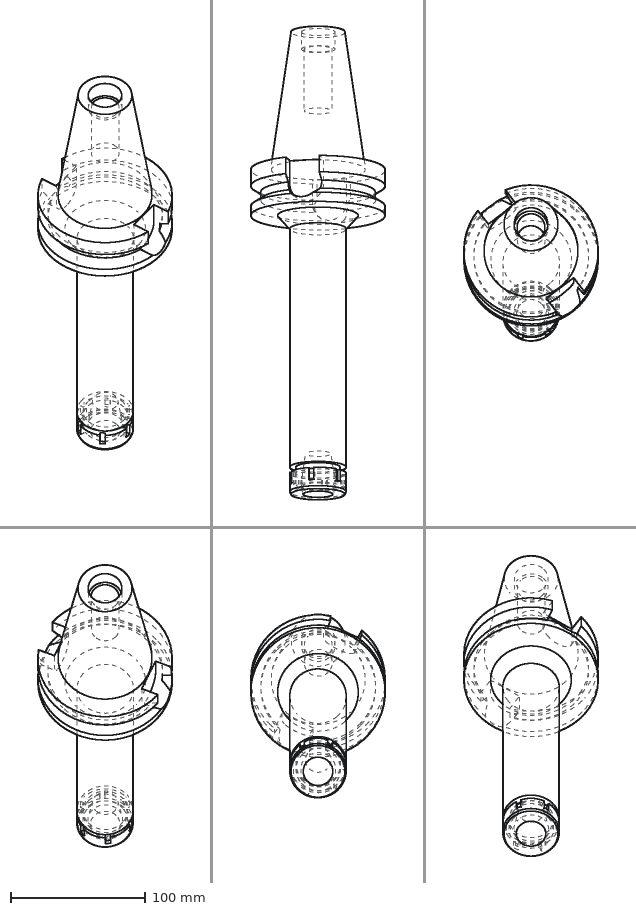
import cadquery as cq
import math

OVERLAP = 1.0

gauge_radius = 69.85 / 2
taper_length = 101.8
taper_ratio = 7 / 24
taper_tip_radius = gauge_radius - taper_length * taper_ratio / 2

flange_radius = 50.0
flange_top = -3.0
flange_bottom = -38.0
groove_radius = 42.7
groove_upper_edge = -15.5
groove_lower_edge = -31.0
groove_flank_angle = 33.0
groove_flank_height = (flange_radius - groove_radius) * math.tan(math.radians(groove_flank_angle))

slot_width = 25.7
slot_floor_offset = 35.4
slot_bottom = -34.0

shank_radius = 21.0
shoulder_radius = 30.0
shoulder_bottom = -48.0

stud_bore_radius = 12.5
stud_bore_depth = 13.0
stud_thread_radius = 10.4
stud_thread_depth = 60.0

nut_bottom = -250.0
nut_radius = shank_radius
nut_height = 16.0
nut_top = nut_bottom + nut_height
nut_chamfer_height = 2.0
nut_chamfer_width = 1.0
neck_radius = 16.5
neck_gap = 4.5
shank_bottom = nut_top + neck_gap
nut_lip_height = 6.0
neck_bottom = nut_bottom + nut_lip_height

wrench_slot_count = 6
wrench_slot_width = 4.0
wrench_slot_depth = 2.5
wrench_slot_length = 9.0

collet_radius = 13.0
collet_face_radius = 11.0
collet_angle = 8.0
collet_seat_depth = 25.0
collet_top = neck_bottom + collet_seat_depth
collet_top_radius = collet_radius - collet_seat_depth * math.tan(math.radians(collet_angle))


def revolve_profile(points):
    """Turn an (r, z) outline around the Z axis."""
    outline = [(-radius, height) for radius, height in points]
    return cq.Workplane("YZ").polyline(outline).close().revolve(360, (0, 0, 0), (0, 1, 0))


def bore(radius, top, bottom):
    """Round cutting tool on the Z axis."""
    return cq.Workplane("XY").workplane(offset=bottom).circle(radius).extrude(top - bottom)


def drive_slot(side):
    """Round-ended slot cutter, open at the flange top and rim; side is +1 or -1 along X."""
    half_width = slot_width / 2
    arc_center = slot_bottom + half_width
    open_top = flange_top + OVERLAP
    depth = flange_radius + OVERLAP - slot_floor_offset
    return (
        cq.Workplane("YZ", origin=(side * slot_floor_offset, 0, 0))
        .moveTo(-half_width, open_top)
        .lineTo(-half_width, arc_center)
        .threePointArc((0, slot_bottom), (half_width, arc_center))
        .lineTo(half_width, open_top)
        .close()
        .extrude(side * depth)
    )


def make_collet():
    """Double-tapered collet, flush with the nut face."""
    return revolve_profile([
        (0, collet_top),
        (collet_top_radius, collet_top),
        (collet_radius, neck_bottom),
        (collet_face_radius, nut_bottom),
        (0, nut_bottom),
    ])


def make_holder(collet):
    """Taper, flange, shank and threaded neck in one piece."""
    holder = revolve_profile([
        (0, taper_length),
        (taper_tip_radius, taper_length),
        (gauge_radius, 0),
        (gauge_radius, flange_top),
        (flange_radius, flange_top),
        (flange_radius, groove_upper_edge),
        (groove_radius, groove_upper_edge - groove_flank_height),
        (groove_radius, groove_lower_edge + groove_flank_height),
        (flange_radius, groove_lower_edge),
        (flange_radius, flange_bottom),
        (shoulder_radius, flange_bottom),
        (shank_radius, shoulder_bottom),
        (shank_radius, shank_bottom),
        (neck_radius, shank_bottom),
        (neck_radius, neck_bottom),
        (0, neck_bottom),
    ])
    for side in (-1, 1):
        holder = holder.cut(drive_slot(side))
    holder = holder.cut(bore(stud_bore_radius, taper_length + OVERLAP, taper_length - stud_bore_depth))
    holder = holder.cut(bore(stud_thread_radius, taper_length, taper_length - stud_thread_depth))
    return holder.cut(collet)


def wrench_slot(angle):
    """Slot cutter in the nut rim, open at the nut top."""
    radial_size = wrench_slot_depth + OVERLAP
    return (
        cq.Workplane("XY")
        .box(radial_size, wrench_slot_width, wrench_slot_length + OVERLAP, centered=(False, True, False))
        .translate((nut_radius - wrench_slot_depth, 0, nut_top - wrench_slot_length))
        .rotate((0, 0, 0), (0, 0, 1), angle)
    )


def make_nut(collet):
    """Clamping nut, bored for the neck and seated on the collet face taper."""
    nut = revolve_profile([
        (0, nut_top),
        (nut_radius, nut_top),
        (nut_radius, nut_bottom + nut_chamfer_height),
        (nut_radius - nut_chamfer_width, nut_bottom),
        (0, nut_bottom),
    ])
    nut = nut.cut(bore(neck_radius, nut_top + OVERLAP, neck_bottom))
    for index in range(wrench_slot_count):
        nut = nut.cut(wrench_slot(index * 360 / wrench_slot_count))
    return nut.cut(collet)


collet = make_collet()
holder = make_holder(collet)
nut = make_nut(collet)

result = cq.Compound.makeCompound([holder.val(), nut.val(), collet.val()])